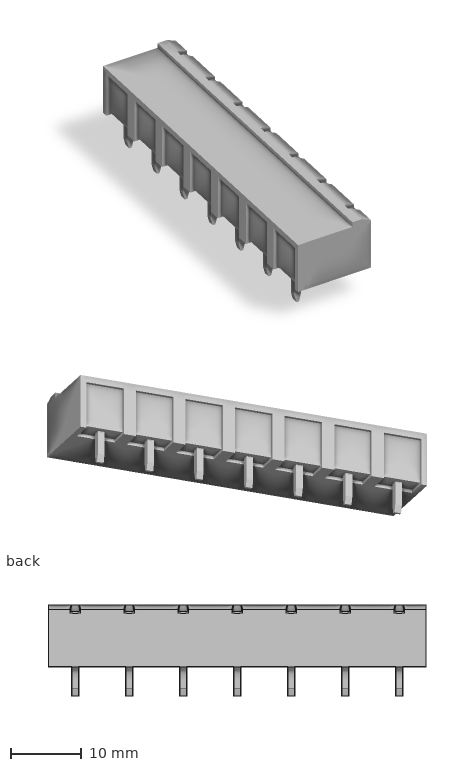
import cadquery as cq
import math

length = 53.3
depth = 12.0
ridge_top = 8.75
deck_top = 7.95
ridge_width = 3.05
bevel_width = 1.5
bevel_drop = 0.65

pole_count = 7
pitch = 7.6

pocket_width = 5.75
pocket_top = 7.0
pocket_depth = 0.55

pin_size = 1.0
pin_setback = 1.9
pin_reach = 4.15
tip_length = 1.1
tip_thickness = 0.4

recess_height = 0.5
recess_depth = 2 * pin_setback - pocket_depth

notch_length = 1.75
notch_rear_width = 1.55
notch_front_width = 1.05
notch_drop = 0.95
notch_front_angle = 56.0
rear_ramp_length = 0.5
rear_ramp_angle = 28.0
floor_radius = 3.2

rear = depth / 2
front = -depth / 2
pole_positions = [(i - (pole_count - 1) / 2) * pitch for i in range(pole_count)]


def extrude_along_x(points, width):
    """Extrude a (Y, Z) outline by width, centred on X = 0."""
    return cq.Workplane("YZ").polyline(points).close().extrude(width / 2, both=True)


def make_housing():
    ridge_front = rear - ridge_width
    outline = [
        (front, 0),
        (rear, 0),
        (rear, ridge_top - bevel_drop),
        (rear - bevel_width, ridge_top),
        (ridge_front, ridge_top),
        (ridge_front, deck_top),
        (front, deck_top),
    ]
    return extrude_along_x(outline, length)


def make_pocket():
    """Front pocket and underside recess as one stepped cutter."""
    pocket_back = front + pocket_depth
    recess_back = front + recess_depth
    outline = [
        (front, 0),
        (recess_back, 0),
        (recess_back, recess_height),
        (pocket_back, recess_height),
        (pocket_back, pocket_top),
        (front, pocket_top),
    ]
    return extrude_along_x(outline, pocket_width)


def make_trough(floor):
    """Cutter bar along Y whose rounded underside has its lowest line at height floor."""
    half_width = notch_rear_width / 2
    side_rise = floor_radius - math.sqrt(floor_radius**2 - half_width**2)
    trough_top = floor + 2 * notch_drop
    return (
        cq.Workplane("XZ", origin=(0, rear - rear_ramp_length, 0))
        .moveTo(-half_width, trough_top)
        .lineTo(-half_width, floor + side_rise)
        .threePointArc((0, floor), (half_width, floor + side_rise))
        .lineTo(half_width, trough_top)
        .close()
        .extrude(notch_length, both=True)
    )


def make_notch():
    """Notch cutter: tapered in plan, with a front ramp, a level floor and a ramp down to the rear."""
    floor = ridge_top - notch_drop
    ramp_start = rear - rear_ramp_length
    front_run = notch_drop / math.tan(math.radians(notch_front_angle))
    notch_front = rear - notch_length

    plan = [
        (-notch_rear_width / 2, rear),
        (notch_rear_width / 2, rear),
        (notch_front_width / 2, notch_front),
        (-notch_front_width / 2, notch_front),
    ]
    taper = cq.Workplane("XY").polyline(plan).close().extrude(ridge_top)

    front_ramp = [
        (notch_front, ridge_top),
        (notch_front + front_run, floor),
        (notch_front + front_run, 0),
        (notch_front, 0),
    ]
    level = make_trough(floor)
    ramp = level.rotate((0, ramp_start, floor), (1, ramp_start, floor), -rear_ramp_angle)
    behind_front_ramp = taper.cut(extrude_along_x(front_ramp, notch_rear_width))
    return behind_front_ramp.intersect(level.union(ramp))


def make_pin():
    """Square pin, its tip tapered on the front and rear faces."""
    axis = front + pin_setback
    tip_start = tip_length - pin_reach
    outline = [
        (axis - pin_size / 2, recess_height),
        (axis - pin_size / 2, tip_start),
        (axis - tip_thickness / 2, -pin_reach),
        (axis + tip_thickness / 2, -pin_reach),
        (axis + pin_size / 2, tip_start),
        (axis + pin_size / 2, recess_height),
    ]
    return extrude_along_x(outline, pin_size)


housing = make_housing()
cutter = make_pocket().union(make_notch())
pin = make_pin()
for x in pole_positions:
    housing = housing.cut(cutter.translate((x, 0, 0)))
    housing = housing.union(pin.translate((x, 0, 0)))
result = housing